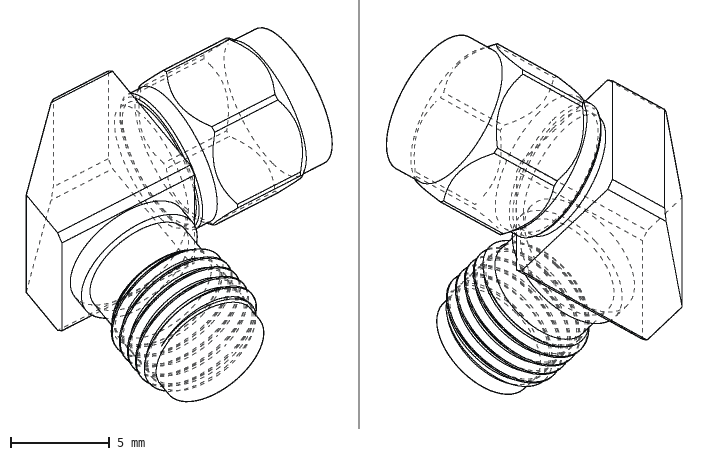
import cadquery as cq
import math


overall_length = 16.6

block_size = 8.0
block_half = block_size / 2
corner_cut = 4.68
edge_chamfer = 0.4

neck_diameter = 6.87
nut_diameter = 7.64
nut_start = 4.48
nut_end = 12.5
nut_rear_chamfer = 0.13
end_rounding = 0.13
hex_start = 5.5
hex_end = 10.87
hex_across_flats = 7.93
hex_across_corners = 8.98
hex_cone_length = 0.78

flange_diameter = 7.0
flange_end = 5.03
barrel_diameter = 5.96
socket_end = overall_length - hex_across_corners / 2
thread_start = 7.15
thread_end = 11.17
thread_pitch = 0.75
thread_major_diameter = 7.0
thread_root_diameter = 6.18
thread_crest_width = 0.1
thread_flank_angle = 30.0
thread_crest_at_top = 8.42
thread_clearance = 0.03


def make_block():
    """Square block with its outer corner cut off and its two X faces chamfered."""
    block = cq.Workplane("XY").box(block_size, block_size, block_size)
    block = block.edges("|Y").chamfer(edge_chamfer)
    corner = (
        cq.Workplane("XY")
        .moveTo(-block_half, -block_half)
        .lineTo(-block_half + corner_cut, -block_half)
        .lineTo(-block_half, -block_half + corner_cut)
        .close()
        .extrude(block_half, both=True)
    )
    return block.cut(corner)


def make_hex():
    """Hexagon with flats facing +Z and -Z, small corner flats and conical ends."""
    length = hex_end - hex_start
    base = cq.Workplane("XZ", origin=(0, hex_end, 0))
    hexagon = base.polygon(6, hex_across_flats / math.cos(math.pi / 6)).extrude(length)
    corner_flats = base.transformed(rotate=(0, 0, 30)).polygon(
        6, hex_across_corners / math.cos(math.pi / 6)
    ).extrude(length)
    inner = nut_diameter / 2
    outer = hex_across_corners / math.sqrt(3)
    cone_rise = (hex_across_corners - nut_diameter) / 2
    slope = hex_cone_length / cone_rise
    full_cone = (outer - inner) * slope
    envelope = (
        cq.Workplane("XY")
        .polyline([
            (0, hex_start),
            (inner, hex_start),
            (outer, hex_start + full_cone),
            (outer, hex_end - full_cone),
            (inner, hex_end),
            (0, hex_end),
        ])
        .close()
        .revolve(360, (0, 0), (0, 1))
    )
    return hexagon.intersect(corner_flats).intersect(envelope)


def make_coupling_nut():
    """Neck, round nut body and hexagon along +Y."""
    neck = (
        cq.Workplane("XZ", origin=(0, block_half, 0))
        .circle(neck_diameter / 2)
        .extrude(block_half - nut_start)
    )
    body = (
        cq.Workplane("XZ", origin=(0, nut_start, 0))
        .circle(nut_diameter / 2)
        .extrude(nut_start - nut_end)
        .faces("<Y").chamfer(nut_rear_chamfer)
        .faces(">Y").edges().fillet(end_rounding)
    )
    return neck.union(body).union(make_hex())


def make_thread():
    """Right-hand thread around X, with both ends bevelled at 45 degrees."""
    barrel = barrel_diameter / 2
    root = thread_root_diameter / 2
    crest = thread_major_diameter / 2
    bevel = crest - barrel
    blank = (
        cq.Workplane("XY")
        .polyline([
            (thread_start, 0),
            (thread_start, barrel),
            (thread_start + bevel, crest),
            (thread_end - bevel, crest),
            (thread_end, barrel),
            (thread_end, 0),
        ])
        .close()
        .revolve(360, (0, 0), (1, 0))
    )

    groove_top = crest + thread_clearance
    flank_run = math.tan(math.radians(thread_flank_angle))
    top_half = (thread_pitch - thread_crest_width) / 2 + thread_clearance * flank_run
    root_half = top_half - (groove_top - root) * flank_run
    groove_turn = (
        cq.Workplane("XZ")
        .polyline([
            (root, -root_half),
            (groove_top, -top_half),
            (groove_top, top_half),
            (root, root_half),
        ])
        .close()
        .sweep(cq.Workplane(obj=cq.Wire.makeHelix(thread_pitch, thread_pitch, root)), isFrenet=True)
        .rotate((0, 0, 0), (0, 1, 0), 90)
        .translate((thread_crest_at_top, 0, 0))
    )
    turns_before = math.ceil((thread_crest_at_top - thread_start) / thread_pitch) + 1
    turns_after = math.ceil((thread_end - thread_crest_at_top) / thread_pitch) + 1
    thread = blank
    for turn in range(-turns_before, turns_after):
        thread = thread.cut(groove_turn.translate((turn * thread_pitch, 0, 0)))
    return thread


def make_socket():
    """Flange, barrel and thread along +X."""
    flange = (
        cq.Workplane("YZ", origin=(block_half, 0, 0))
        .circle(flange_diameter / 2)
        .extrude(flange_end - block_half)
    )
    barrel = (
        cq.Workplane("YZ", origin=(flange_end, 0, 0))
        .circle(barrel_diameter / 2)
        .extrude(socket_end - flange_end)
        .faces(">X").edges().fillet(end_rounding)
    )
    return flange.union(barrel).union(make_thread())


result = make_block().union(make_coupling_nut()).union(make_socket())